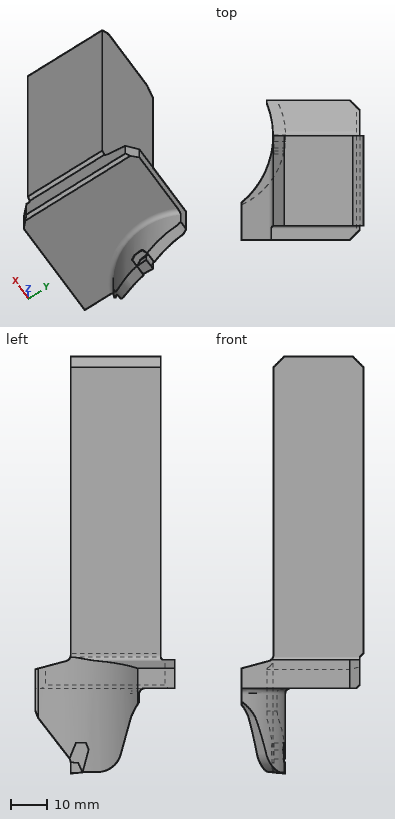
import cadquery as cq
import math


shank_size = 25.0
tool_height = 115.6
shank_chamfer = 3.0
shank_foot = 33.35

head_left = -8.85
head_right = shank_size - 1.0
head_depth = 38.75
head_front = -28.9
head_back = head_front + head_depth
head_bottom = 23.65
head_top = 31.6
slope_angle = math.radians(15)
head_corner_chamfer = 2.8
head_bottom_chamfer = 1.0
slope_fillet = 1.7
front_fillet = 0.75

inner_radius = 24.0
inner_crest = -0.1
outer_radius = 21.0
outer_crest = 3.35
root_fillet = 1.4
back_flat_x = -1.85

shoulder_height = 20.0
shoulder_middle = (-17.9, 18.1)
flank_top = (-16.8, 15.8)
flank_bottom = (-13.9, 5.3)
toe_middle = (-12.1, 2.35)
toe_end = (-8.0, 0.45)
heel_start = (9.0, 15.45)
back_height = 17.5

insert_left = 0.1
insert_right = 3.05
tip_left = -0.1
tip_right = outer_crest
seat_peak = (0.3, 4.2)
seat_outline = [seat_peak, (-1.5, 8.65), (-4.2, 8.65), (-5.0, 6.7)]
tip_height = 3.2
edge_rise = 0.3
tip_rear = (-3.3, 0.35)
tip_bevel = (-2.1, 3.0)


def slope_fillet_points():
    """Start, middle and end of the fillet from the sloping top to a shank wall at 0, as (offset, Z)."""
    half_turn = (math.pi / 2 - slope_angle) / 2
    reach = slope_fillet * math.tan(half_turn)
    start = (-reach * math.cos(slope_angle), head_top - reach * math.sin(slope_angle))
    end = (0, head_top + reach)
    middle = (slope_fillet * (math.cos(half_turn) - 1), end[1] - slope_fillet * math.sin(half_turn))
    return start, middle, end


def mirrored(point):
    """The same (offset, Z) point on the other side of the wall."""
    return (-point[0], point[1])


def slope_height(distance):
    """Height of the sloping head top at a distance from the shank wall."""
    return head_top - distance * math.tan(slope_angle)


def outer_arc_x(y):
    """X of the outer arc at the given Y."""
    return outer_crest - outer_radius + math.sqrt(outer_radius**2 - y**2)


def inner_arc_y(x):
    """Distance in Y from the crest of the inner arc to where it reaches the given X."""
    return math.sqrt(inner_radius**2 - (x - inner_crest + inner_radius) ** 2)


def outer_arc_y(x):
    """Distance in Y from the crest of the outer arc to where it reaches the given X."""
    return math.sqrt(outer_radius**2 - (x - outer_crest + outer_radius) ** 2)


def make_front_outline():
    """Shank and head outline in XZ, extruded over the whole head depth."""
    start, middle, end = slope_fillet_points()
    foot_step = shank_size - head_right
    outline = (
        cq.Workplane("XZ", origin=(0, head_back, 0))
        .moveTo(head_left, head_bottom)
        .lineTo(head_right - head_bottom_chamfer, head_bottom)
        .lineTo(head_right, head_bottom + head_bottom_chamfer)
        .lineTo(head_right, shank_foot - foot_step)
        .lineTo(shank_size, shank_foot)
        .lineTo(shank_size, tool_height - shank_chamfer)
        .lineTo(shank_size - shank_chamfer, tool_height)
        .lineTo(shank_chamfer, tool_height)
        .lineTo(0, tool_height - shank_chamfer)
        .lineTo(*end)
        .threePointArc(middle, start)
        .lineTo(head_left, slope_height(-head_left))
        .close()
    )
    return outline.extrude(head_depth)


def make_side_outline():
    """Shank and head outline in YZ, extruded over the whole width."""
    start, middle, end = [mirrored(point) for point in slope_fillet_points()]
    outline = (
        cq.Workplane("YZ", origin=(head_left, 0, 0))
        .moveTo(head_front, head_bottom)
        .lineTo(head_back, head_bottom)
        .lineTo(head_back, slope_height(head_back))
        .lineTo(*start)
        .threePointArc(middle, end)
        .lineTo(0, tool_height)
        .lineTo(-shank_size, tool_height)
        .lineTo(-shank_size, head_top + front_fillet)
        .radiusArc((-shank_size - front_fillet, head_top), front_fillet)
        .lineTo(head_front, head_top)
        .close()
    )
    return outline.extrude(shank_size - head_left)


def make_corner_chamfers():
    """Wedges that chamfer the two +X corners of the head."""
    wedges = cq.Workplane("XY", origin=(0, 0, head_bottom))
    for corner_y, inward in ((head_front, 1), (head_back, -1)):
        wedges = (
            wedges.moveTo(head_right - head_corner_chamfer, corner_y)
            .lineTo(head_right, corner_y + inward * head_corner_chamfer)
            .lineTo(head_right, corner_y)
            .close()
        )
    return wedges.extrude(head_top - head_bottom)


def make_relief():
    """Space on the -X side that the curved inner face of the head and blade leaves free."""
    return (
        cq.Workplane("XY")
        .moveTo(head_left, -inner_arc_y(head_left))
        .threePointArc((inner_crest, 0), (back_flat_x, inner_arc_y(back_flat_x)))
        .lineTo(back_flat_x, head_back)
        .lineTo(head_left, head_back)
        .close()
        .extrude(tool_height)
    )


def make_blade_plan():
    """Blade cross-section, standing on Z = 0, before its side outline is cut."""
    return (
        cq.Workplane("XY")
        .moveTo(head_left, -outer_arc_y(head_left))
        .threePointArc((outer_crest, 0), (outer_arc_x(head_back), head_back))
        .lineTo(head_left, head_back)
        .close()
        .extrude(head_bottom)
    )


def make_blade_outline():
    """Blade outline in YZ, reaching up through the head."""
    outline = (
        cq.Workplane("YZ", origin=(head_left, 0, 0))
        .moveTo(head_front, tool_height)
        .lineTo(head_front, shoulder_height)
        .lineTo(-outer_arc_y(head_left), shoulder_height)
        .threePointArc(shoulder_middle, flank_top)
        .lineTo(*flank_bottom)
        .threePointArc(toe_middle, toe_end)
        .lineTo(tip_rear[0], toe_end[1])
        .lineTo(*seat_peak)
        .lineTo(*heel_start)
        .lineTo(head_back, back_height)
        .lineTo(head_back, tool_height)
        .close()
    )
    return outline.extrude(shank_size - head_left)


def side_plate(points, left, right):
    """Plate with a (Y, Z) polygon outline, between two X positions."""
    return cq.Workplane("YZ", origin=(left, 0, 0)).polyline(points).close().extrude(right - left)


def make_insert_space():
    """Side outline of the whole insert, wide enough to cut its seat through the blade."""
    return side_plate(seat_outline + [tip_rear, (0, 0), (0, tip_height)], head_left, shank_size)


def make_holder():
    """Shank, head and blade as one solid, with the seat for the insert."""
    body = make_front_outline().intersect(make_side_outline()).cut(make_corner_chamfers())
    body = body.union(make_blade_plan())
    root_point = (outer_crest, 0, head_bottom)
    body = body.edges(cq.selectors.NearestToPointSelector(root_point)).fillet(root_fillet)
    return body.cut(make_relief()).intersect(make_blade_outline()).cut(make_insert_space())


def make_insert():
    """Flat insert plate joined with the tip, whose sides and bottom fall away behind the cutting edge."""
    plate = side_plate(seat_outline + [tip_rear, tip_bevel, (0, tip_height)], insert_left, insert_right)
    tip = side_plate([(0, 0), (0, tip_height), tip_bevel, tip_rear], tip_left, tip_right)
    tip_plan = (
        cq.Workplane("XY")
        .moveTo(tip_left, 0)
        .lineTo(tip_right, 0)
        .lineTo(insert_right, tip_rear[0])
        .lineTo(insert_left, tip_rear[0])
        .close()
        .extrude(tip_height)
    )
    tip_front = (
        cq.Workplane("XZ")
        .moveTo(tip_left, edge_rise)
        .lineTo(tip_right, 0)
        .lineTo(tip_right, tip_height)
        .lineTo(tip_left, tip_height)
        .close()
        .extrude(-tip_rear[0])
    )
    return plate.union(tip.intersect(tip_plan).intersect(tip_front))


holder = make_holder()
insert = make_insert()
result = cq.Compound.makeCompound([holder.val(), insert.val()])